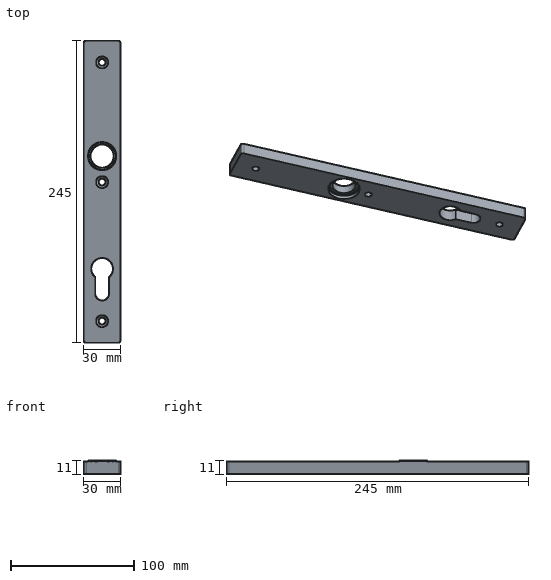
import cadquery as cq

plate_width = 30.0
plate_length = 245.0
plate_thickness = 10.3
corner_radius = 2.0

screw_hole_diameter = 5.5
countersink_diameter = 9.8
countersink_angle = 90.0
screw_positions_y = (104.9, 7.8, -104.9)

bushing_y = 29.0
bushing_outer_diameter = 23.0
bushing_bore_diameter = 18.5
bushing_top_z = 11.0
bushing_bottom_z = 3.5
bushing_chamfer = 0.5

recess_diameter = 25.5

keyhole_y = -62.5
keyhole_barrel_diameter = 17.5
keyhole_slot_width = 11.0
keyhole_total_length = 34.3


def make_keyhole_cutter():
    """Barrel circle joined to a round-ended slot that points towards -Y."""
    slot_radius = keyhole_slot_width / 2
    keyhole_bottom_y = keyhole_y + keyhole_barrel_diameter / 2 - keyhole_total_length
    slot_end_y = keyhole_bottom_y + slot_radius
    barrel = (
        cq.Workplane("XY")
        .center(0, keyhole_y)
        .circle(keyhole_barrel_diameter / 2)
        .extrude(plate_thickness)
    )
    slot = (
        cq.Workplane("XY")
        .moveTo(-slot_radius, keyhole_y)
        .lineTo(-slot_radius, slot_end_y)
        .threePointArc((0, keyhole_bottom_y), (slot_radius, slot_end_y))
        .lineTo(slot_radius, keyhole_y)
        .close()
        .extrude(plate_thickness)
    )
    return barrel.union(slot)


def make_bushing_seat_cutter():
    """Bore that fits the bushing, opening into a wider recess below it."""
    return (
        cq.Workplane("XY")
        .center(0, bushing_y)
        .circle(recess_diameter / 2)
        .extrude(bushing_bottom_z)
        .faces(">Z")
        .workplane()
        .circle(bushing_outer_diameter / 2)
        .extrude(plate_thickness - bushing_bottom_z)
    )


def make_plate():
    """Long plate with rounded corners, screw holes, bushing seat and keyhole."""
    plate = (
        cq.Workplane("XY")
        .rect(plate_width, plate_length)
        .extrude(plate_thickness)
        .edges("|Z")
        .fillet(corner_radius)
    )
    top = plate.faces(">Z").workplane(origin=(0, 0, plate_thickness))
    plate = top.pushPoints([(0, y) for y in screw_positions_y]).cskHole(
        screw_hole_diameter, countersink_diameter, countersink_angle
    )
    return plate.cut(make_bushing_seat_cutter()).cut(make_keyhole_cutter())


def make_bushing():
    """Ring with its outer top edge chamfered, ending above the underside of the plate."""
    return (
        cq.Workplane("XY")
        .workplane(offset=bushing_bottom_z)
        .center(0, bushing_y)
        .circle(bushing_outer_diameter / 2)
        .extrude(bushing_top_z - bushing_bottom_z)
        .faces(">Z")
        .chamfer(bushing_chamfer)
        .faces(">Z")
        .workplane()
        .hole(bushing_bore_diameter)
    )


plate = make_plate()
bushing = make_bushing()

result = cq.Compound.makeCompound([plate.val(), bushing.val()])